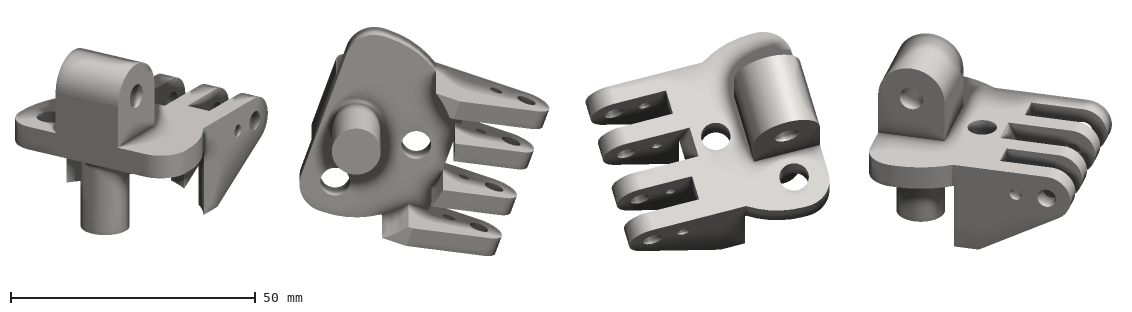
import cadquery as cq
import math

plate_thickness = 5.0
plate_radius = 20.0
corner_radius = 6.0
plate_hole_diameter = 6.0
corner_hole_x = -13.0
center_hole_y = 20.0

lug_width = 15.05
lug_radius = 7.0
lug_axis_height = 9.0
lug_hole_diameter = 5.0
pin_y = lug_radius
pin_diameter = 9.98
pin_length = 16.2
pin_fillet = 1.0

overall_length = 43.0
finger_half_span = 16.6
outer_finger_width = 4.05
inner_finger_width = 3.9
middle_slot_width = 6.62
tip_radius = plate_thickness
tip_y = overall_length - tip_radius
finger_drop = 14.1
finger_heel_y = 23.65
clearance_radius = 20.15
slot_floor_y = 27.05
hinge_hole_diameter = 4.0
pilot_y = 31.48
outer_pilot_diameter = 2.6
inner_pilot_diameter = 2.15

slope_top_y = 24.6
slope_bottom_y = 26.88

inner_finger_start = middle_slot_width / 2
inner_finger_end = inner_finger_start + inner_finger_width
outer_finger_start = finger_half_span - outer_finger_width


def cylinder_along_x(diameter, y, z, x_start, x_end):
    """Cylinder parallel to X between two X positions."""
    return (
        cq.Workplane("YZ", origin=(x_start, y, z))
        .circle(diameter / 2)
        .extrude(x_end - x_start)
    )


def make_plate():
    """Plate with rounded front corners, large side arcs and a narrower rear."""
    shoulder_y = pin_y + math.sqrt(plate_radius**2 - finger_half_span**2)
    arc_angle = math.acos(finger_half_span / plate_radius) / 2
    arc_x = plate_radius * math.cos(arc_angle)
    arc_y = pin_y + plate_radius * math.sin(arc_angle)
    front_x = plate_radius - corner_radius
    corner_x = front_x + corner_radius * math.sqrt(0.5)
    corner_y = corner_radius * (1 - math.sqrt(0.5))
    return (
        cq.Workplane("XY")
        .moveTo(-front_x, 0)
        .lineTo(front_x, 0)
        .threePointArc((corner_x, corner_y), (plate_radius, corner_radius))
        .lineTo(plate_radius, pin_y)
        .threePointArc((arc_x, arc_y), (finger_half_span, shoulder_y))
        .lineTo(finger_half_span, slot_floor_y)
        .lineTo(-finger_half_span, slot_floor_y)
        .lineTo(-finger_half_span, shoulder_y)
        .threePointArc((-arc_x, arc_y), (-plate_radius, pin_y))
        .lineTo(-plate_radius, corner_radius)
        .threePointArc((-corner_x, corner_y), (-front_x, 0))
        .close()
        .extrude(plate_thickness)
    )


def make_finger(x_start, x_end, pilot_diameter):
    """Round-tipped finger whose lower edge runs tangent from the tip to the heel."""
    run = tip_y - finger_heel_y
    heel_angle = math.atan2(-finger_drop, -run)
    tangent_angle = heel_angle + math.acos(tip_radius / math.hypot(run, finger_drop))
    tangent_y = tip_y + tip_radius * math.cos(tangent_angle)
    tangent_z = tip_radius * math.sin(tangent_angle)
    finger = (
        cq.Workplane("YZ", origin=(x_start, 0, 0))
        .moveTo(pin_y, plate_thickness)
        .lineTo(tip_y, plate_thickness)
        .threePointArc((overall_length, 0), (tangent_y, tangent_z))
        .lineTo(finger_heel_y, -finger_drop)
        .lineTo(pin_y, -finger_drop)
        .close()
        .extrude(x_end - x_start)
    )
    clearance = (
        cq.Workplane("XY", origin=(0, pin_y, -finger_drop))
        .circle(clearance_radius)
        .extrude(finger_drop)
    )
    return (
        finger.cut(clearance)
        .cut(cylinder_along_x(hinge_hole_diameter, tip_y, 0, x_start, x_end))
        .cut(cylinder_along_x(pilot_diameter, pilot_y, 0, x_start, x_end))
    )


def make_lug():
    """Round-topped lug with a cross hole."""
    axis_z = plate_thickness + lug_axis_height
    block = cq.Workplane("XY").box(
        lug_width, 2 * lug_radius, axis_z, centered=(True, False, False)
    )
    half_width = lug_width / 2
    return (
        block.union(cylinder_along_x(2 * lug_radius, pin_y, axis_z, -half_width, half_width))
        .cut(cylinder_along_x(lug_hole_diameter, pin_y, axis_z, -half_width, half_width))
    )


def make_pin():
    """Round pin flaring into the plate underside with a concave fillet."""
    pin_radius = pin_diameter / 2
    fillet_offset = pin_fillet * (1 - math.sqrt(0.5))
    return (
        cq.Workplane("XZ")
        .moveTo(0, 0)
        .lineTo(pin_radius + pin_fillet, 0)
        .threePointArc((pin_radius + fillet_offset, -fillet_offset), (pin_radius, -pin_fillet))
        .lineTo(pin_radius, -pin_length)
        .lineTo(0, -pin_length)
        .close()
        .revolve(360, (0, 0), (0, 1))
        .translate((0, pin_y, 0))
    )


def make_middle_slot():
    """Cutter that slopes the plate edge between the two inner fingers."""
    return (
        cq.Workplane("YZ", origin=(-middle_slot_width / 2, 0, 0))
        .moveTo(slope_top_y, plate_thickness)
        .lineTo(slope_bottom_y, 0)
        .lineTo(overall_length, 0)
        .lineTo(overall_length, plate_thickness)
        .close()
        .extrude(middle_slot_width)
    )


result = make_plate().union(make_lug()).union(make_pin())

finger_layout = (
    (inner_finger_start, inner_finger_end, inner_pilot_diameter),
    (outer_finger_start, finger_half_span, outer_pilot_diameter),
)
for near_x, far_x, pilot_diameter in finger_layout:
    result = result.union(make_finger(near_x, far_x, pilot_diameter))
    result = result.union(make_finger(-far_x, -near_x, pilot_diameter))

result = result.cut(make_middle_slot())

plate_holes = (
    cq.Workplane("XY")
    .pushPoints([(corner_hole_x, pin_y), (0, center_hole_y)])
    .circle(plate_hole_diameter / 2)
    .extrude(plate_thickness)
)
result = result.cut(plate_holes)